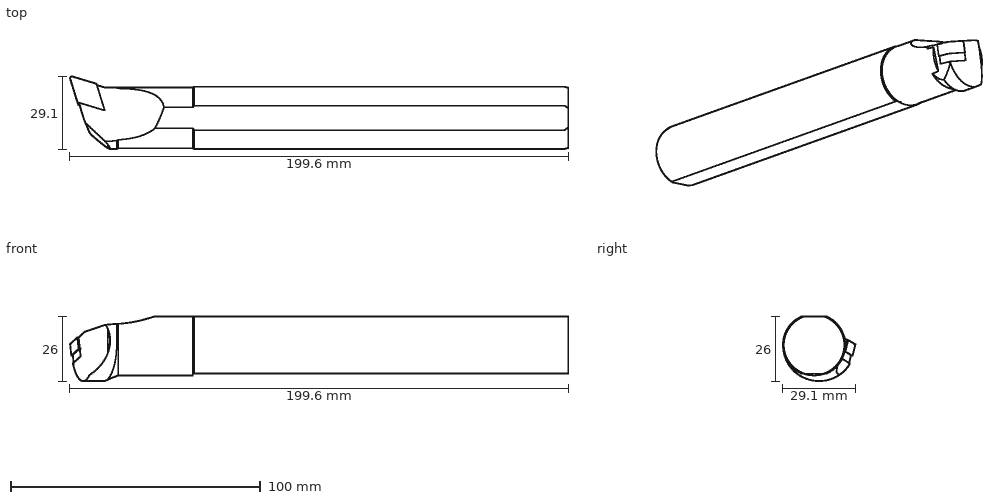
import cadquery as cq
import math

tool_length = 200.0
tip_offset = 17.0

shank_radius = 12.5
flat_height = 11.5
shank_start = 49.6
end_chamfer_length = 1.5
end_chamfer_depth = 0.4

neck_radius = 12.25
neck_start = 15.5

head_depth = 14.5
flare_end = 19.7
flare_length = 30.0
upper_head_radius = 12.5
head_center_y = head_depth - upper_head_radius
step_angle = math.radians(22.5)

axial_tilt = math.radians(6.0)
radial_tilt = math.radians(14.0)

insert_edge = 11.63
insert_angle = 55.0
insert_thickness = 4.76
nose_radius = 0.8
side_edge_angle = 16.9
front_edge_angle = side_edge_angle + insert_angle
shim_thickness = 3.18
shim_setback = 0.4
flank_setback = 0.5

flank_length = 19.6
cheek_angle = 43.0
cheek_blend_radius = 5.0

relief_radius = 42.0
relief_blend_radius = 32.5
relief_reach = 23.2
relief_center_v = -16.5
relief_blend_sweep = math.radians(50.0)

clearance = 40.0

rake = cq.Plane(
    origin=(0, tip_offset, 0),
    xDir=(1, 0, math.tan(axial_tilt)),
    normal=(-math.tan(axial_tilt), math.tan(radial_tilt), 1),
)


def along(angle_down, distance, start=(0, 0)):
    """Point in the rake plane, a distance from start, at an angle below +X."""
    angle = math.radians(angle_down)
    return (start[0] + distance * math.cos(angle), start[1] - distance * math.sin(angle))


def inset_distance(setback):
    """Distance along each cutting edge that sets both outer sides back."""
    return setback / math.sin(math.radians(insert_angle))


def inset_corner(setback):
    """Outer corner once both of its sides are set back."""
    inset = inset_distance(setback)
    return along(front_edge_angle, inset, along(side_edge_angle, inset))


def rhombus(setback, height, depth):
    """Insert-shaped plate starting at a depth below the rake plane, its two outer sides set back."""
    corner = inset_corner(setback)
    edge = insert_edge - inset_distance(setback)
    side_corner = along(side_edge_angle, edge, corner)
    front_corner = along(front_edge_angle, edge, corner)
    inner_corner = along(side_edge_angle, edge, front_corner)
    plate = (
        cq.Workplane(rake)
        .workplane(offset=-depth)
        .polyline([corner, side_corner, inner_corner, front_corner])
        .close()
        .extrude(-height)
    )
    nose = cq.selectors.NearestToPointSelector(rake.toWorldCoords((*corner, -depth - height / 2)))
    return plate.edges(nose).fillet(nose_radius)


def make_shank():
    end_radius = shank_radius - end_chamfer_depth
    step_length = (shank_radius - neck_radius) / math.tan(step_angle)
    chamfer_start = tool_length - end_chamfer_length
    shank = (
        cq.Workplane("XY")
        .moveTo(shank_start, 0)
        .lineTo(shank_start, neck_radius)
        .lineTo(shank_start + step_length, shank_radius)
        .lineTo(chamfer_start, shank_radius)
        .lineTo(tool_length, end_radius)
        .lineTo(tool_length, 0)
        .close()
        .revolve(360, (0, 0, 0), (1, 0, 0))
    )
    flats = cq.Workplane("XY").box(2 * tool_length, 2 * clearance, 2 * flat_height)
    return shank.intersect(flats)


def make_neck():
    neck = cq.Workplane("YZ", origin=(neck_start, 0, 0)).circle(neck_radius).extrude(shank_start - neck_start)
    above_flat = cq.Workplane("XY", origin=(0, 0, flat_height)).box(
        2 * tool_length, 2 * clearance, clearance, centered=(True, True, False)
    )
    return neck.cut(above_flat)


def make_flare():
    flare_start_radius = neck_radius + flare_length * math.tan(step_angle)
    return (
        cq.Workplane("XY")
        .moveTo(flare_end - flare_length, 0)
        .lineTo(flare_end - flare_length, flare_start_radius)
        .lineTo(flare_end, neck_radius)
        .lineTo(flare_end, 0)
        .close()
        .revolve(360, (0, 0, 0), (1, 0, 0))
    )


def make_head_walls():
    """Prism square to the rake plane: side wall, front flank and cheek."""
    corner = inset_corner(flank_setback)
    neck_side_v = (neck_radius - tip_offset) / math.cos(radial_tilt)
    side_wall_length = (corner[1] - neck_side_v) / math.sin(math.radians(side_edge_angle))
    side_wall_end = along(side_edge_angle, side_wall_length, corner)
    flank_end = along(front_edge_angle, flank_length, corner)
    cheek_end = along(cheek_angle, clearance, flank_end)
    walls = (
        cq.Workplane(rake)
        .polyline([corner, side_wall_end, (clearance, side_wall_end[1]), (clearance, cheek_end[1]),
                   cheek_end, flank_end])
        .close()
        .extrude(-clearance)
    )
    blend_edge = cq.selectors.NearestToPointSelector(rake.toWorldCoords((*flank_end, -clearance / 2)))
    return walls.edges(blend_edge).fillet(cheek_blend_radius)


def make_head():
    cylinder = (
        cq.Workplane("YZ", origin=(-clearance, 0, 0))
        .center(head_center_y, 0)
        .circle(head_depth)
        .extrude(2 * clearance)
    )
    upper_head = cq.Workplane("YZ", origin=(-clearance, 0, 0)).circle(upper_head_radius).extrude(2 * clearance)
    proud_side = cq.Workplane("XY", origin=(0, -clearance / 2, 0)).box(
        2 * clearance, clearance, clearance, centered=(True, True, False)
    )
    head = cylinder.intersect(make_flare()).intersect(make_head_walls())
    return head.cut(proud_side.cut(upper_head))


def make_relief():
    """Round cutter: a flat disc on the rake plane whose rim curves upwards."""
    half_sweep = relief_blend_sweep / 2
    rim = [
        (
            relief_radius + relief_blend_radius * math.sin(angle),
            relief_blend_radius * (1 - math.cos(angle)),
        )
        for angle in (half_sweep, relief_blend_sweep)
    ]
    center = rake.toWorldCoords((relief_reach - relief_radius, relief_center_v, 0))
    section = cq.Plane(origin=center, xDir=rake.xDir, normal=-rake.yDir)
    return (
        cq.Workplane(section)
        .moveTo(0, 0)
        .lineTo(relief_radius, 0)
        .threePointArc(rim[0], rim[1])
        .lineTo(rim[1][0], clearance)
        .lineTo(0, clearance)
        .close()
        .revolve(360, (0, 0, 0), (0, 1, 0))
    )


def make_holder():
    seat = rhombus(0, insert_thickness + shim_thickness, 0)
    shim = rhombus(shim_setback, shim_thickness, insert_thickness)
    blank = make_shank().union(make_neck()).union(make_head())
    return blank.cut(make_relief()).cut(seat).union(shim)


def make_insert():
    return rhombus(0, insert_thickness, 0)


holder = make_holder()
insert = make_insert()

result = cq.Compound.makeCompound([holder.val(), insert.val()])